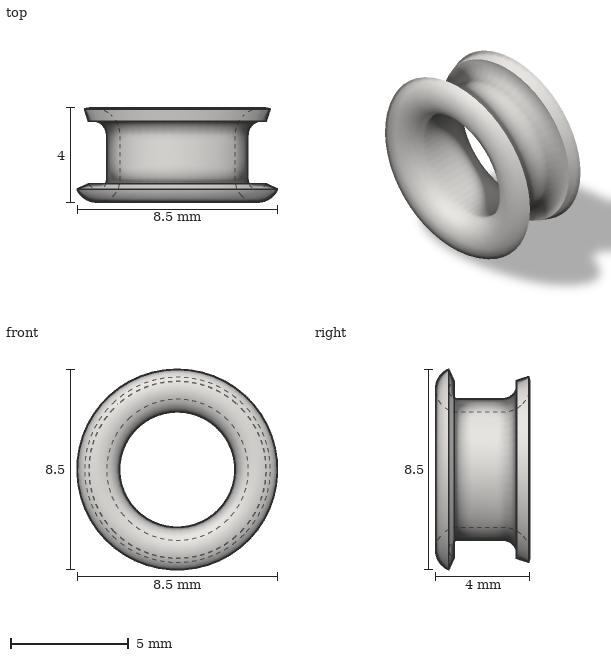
import cadquery as cq
import math

length = 4.0
bore_radius = 2.45
wall = 0.55
front_roll_radius = 0.94
rear_roll_radius = 1.14
front_rim_radius = 4.25
rear_rim_radius = 3.935


def roll_points(roll_radius, rim_radius, end_y, inward):
    """Return start, middle and end of a roll's bore-side arc, then of its tube-side arc.

    Points are (radial distance, Y); inward is the Y direction from this end into the tube.
    """
    center_radius = bore_radius + roll_radius
    center_y = end_y + inward * roll_radius
    rim_angle = math.acos((rim_radius - center_radius) / roll_radius)

    def point_at(arc_radius, angle):
        radial = center_radius + arc_radius * math.cos(angle)
        return (radial, center_y - inward * arc_radius * math.sin(angle))

    arc_angles = (math.pi, (math.pi + rim_angle) / 2, rim_angle)
    bore_side = [point_at(roll_radius, angle) for angle in arc_angles]
    tube_side = [point_at(roll_radius - wall, angle) for angle in arc_angles]
    return bore_side, tube_side


front_bore_side, front_tube_side = roll_points(front_roll_radius, front_rim_radius, 0, 1)
rear_bore_side, rear_tube_side = roll_points(rear_roll_radius, rear_rim_radius, length, -1)

section = (
    cq.Workplane("XY")
    .moveTo(*front_bore_side[0])
    .lineTo(*rear_bore_side[0])
    .threePointArc(*rear_bore_side[1:])
    .lineTo(*rear_tube_side[2])
    .threePointArc(rear_tube_side[1], rear_tube_side[0])
    .lineTo(*front_tube_side[0])
    .threePointArc(*front_tube_side[1:])
    .lineTo(*front_bore_side[2])
    .threePointArc(front_bore_side[1], front_bore_side[0])
    .close()
)

eyelet = section.revolve(360, (0, 0, 0), (0, 1, 0))
result = eyelet.rotate((0, 0, 0), (0, 1, 0), -90)